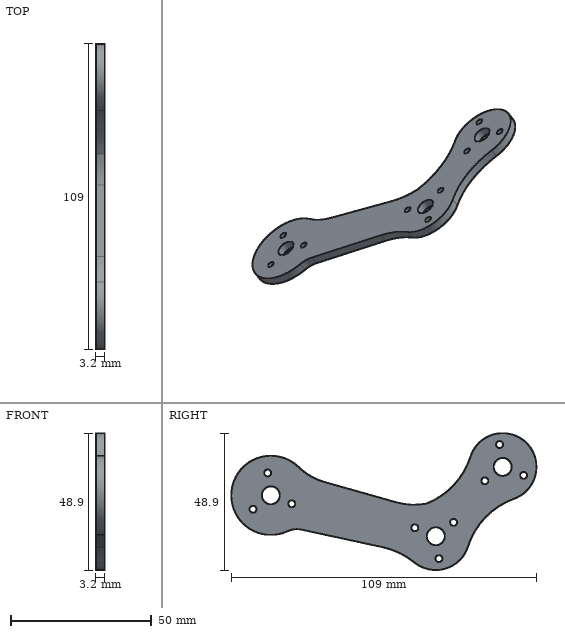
import cadquery as cq
import math

thickness = 3.2

upper_pivot = (42.4, 12.4)
elbow_pivot = (18.5, -12.3)
far_pivot = (-40.3, 2.3)
small_boss_radius = 12.1
far_boss_radius = 14.2

waist_radius = 26.7

top_edge_height = 1.1
top_edge_angle = -15.8
bottom_edge_height = -16.3
bottom_edge_angle = -12.2
far_top_blend_radius = 21.2
far_bottom_blend_radius = 7.6
elbow_blend_radius = waist_radius

corner_waist_y = 15.2
corner_edge_y = 4.2

bore_diameter = 6.3
screw_hole_diameter = 2.4
screw_circle_radius = 8.1
screw_count = 3
end_screw_angle = 98.0
elbow_screw_angle = end_screw_angle + 180


def point_towards(start, end, distance):
    """Point at the given distance from start on the way to end."""
    fraction = distance / math.dist(start, end)
    return tuple(a + (b - a) * fraction for a, b in zip(start, end))


def edge_height(height, angle, y):
    """Height of a straight arm edge at y."""
    return height + y * math.tan(math.radians(angle))


def arc_middle(center, start, end):
    """Middle of the shorter arc about center from start to end."""
    chord_middle = ((start[0] + end[0]) / 2, (start[1] + end[1]) / 2)
    return point_towards(center, chord_middle, math.dist(center, start))


def waist_center(side):
    """Center of the waist arc on one side of the short arm; side is +1 or -1."""
    span = math.dist(upper_pivot, elbow_pivot)
    offset = side * math.sqrt((small_boss_radius + waist_radius) ** 2 - (span / 2) ** 2)
    along_y = (upper_pivot[0] - elbow_pivot[0]) / span
    along_z = (upper_pivot[1] - elbow_pivot[1]) / span
    middle_y = (upper_pivot[0] + elbow_pivot[0]) / 2
    middle_z = (upper_pivot[1] + elbow_pivot[1]) / 2
    return (middle_y - along_z * offset, middle_z + along_y * offset)


def edge_blend(pivot, boss_radius, height, angle, radius, outward, direction):
    """Boss tangent point, arc middle and edge tangent point of a blend.

    outward is +1 above an edge and -1 below it; direction is the way along Y
    from the boss to the blend.
    """
    tilt = math.radians(angle)
    along = (math.cos(tilt), math.sin(tilt))
    normal = (-outward * along[1], outward * along[0])
    pivot_offset = pivot[0] * normal[0] + (pivot[1] - height) * normal[1]
    rise = radius - pivot_offset
    run = direction * math.sqrt((boss_radius + radius) ** 2 - rise**2)
    center = tuple(p + run * a + rise * n for p, a, n in zip(pivot, along, normal))
    boss_point = point_towards(pivot, center, boss_radius)
    edge_point = tuple(c - radius * n for c, n in zip(center, normal))
    return boss_point, arc_middle(center, boss_point, edge_point), edge_point


def outer_point(pivot, boss_radius, angle):
    """Point on a boss rim at an angle from +Y."""
    turn = math.radians(angle)
    return (pivot[0] + boss_radius * math.cos(turn), pivot[1] + boss_radius * math.sin(turn))


def make_plate():
    inner_center = waist_center(1)
    outer_center = waist_center(-1)
    inner_start = point_towards(upper_pivot, inner_center, small_boss_radius)
    corner_drop = math.sqrt(waist_radius**2 - (corner_waist_y - inner_center[0]) ** 2)
    corner_start = (corner_waist_y, inner_center[1] - corner_drop)
    corner_end = (corner_edge_y, edge_height(top_edge_height, top_edge_angle, corner_edge_y))
    outer_end = point_towards(upper_pivot, outer_center, small_boss_radius)
    outer_start = point_towards(elbow_pivot, outer_center, small_boss_radius)

    far_top, far_top_middle, top_edge_end = edge_blend(
        far_pivot, far_boss_radius, top_edge_height, top_edge_angle, far_top_blend_radius, 1, 1
    )
    far_bottom, far_bottom_middle, bottom_edge_start = edge_blend(
        far_pivot, far_boss_radius, bottom_edge_height, bottom_edge_angle, far_bottom_blend_radius, -1, 1
    )
    elbow_bottom, elbow_middle, bottom_edge_end = edge_blend(
        elbow_pivot, small_boss_radius, bottom_edge_height, bottom_edge_angle, elbow_blend_radius, -1, -1
    )

    return (
        cq.Workplane("YZ", origin=(-thickness / 2, 0, 0))
        .moveTo(*top_edge_end)
        .lineTo(*corner_end)
        .tangentArcPoint(corner_start, relative=False)
        .threePointArc(arc_middle(inner_center, corner_start, inner_start), inner_start)
        .threePointArc(outer_point(upper_pivot, small_boss_radius, 0), outer_end)
        .threePointArc(arc_middle(outer_center, outer_end, outer_start), outer_start)
        .threePointArc(outer_point(elbow_pivot, small_boss_radius, -90), elbow_bottom)
        .threePointArc(elbow_middle, bottom_edge_end)
        .lineTo(*bottom_edge_start)
        .threePointArc(far_bottom_middle, far_bottom)
        .threePointArc(outer_point(far_pivot, far_boss_radius, 180), far_top)
        .threePointArc(far_top_middle, top_edge_end)
        .close()
        .extrude(thickness)
    )


def cut_pivot_holes(plate, pivot, screw_angle):
    screws = [
        outer_point(pivot, screw_circle_radius, screw_angle + i * 360 / screw_count)
        for i in range(screw_count)
    ]
    face = cq.Workplane("YZ", origin=(-thickness / 2, 0, 0))
    bore = face.pushPoints([pivot]).circle(bore_diameter / 2).extrude(thickness)
    screw_holes = face.pushPoints(screws).circle(screw_hole_diameter / 2).extrude(thickness)
    return plate.cut(bore).cut(screw_holes)


result = make_plate()
result = cut_pivot_holes(result, upper_pivot, end_screw_angle)
result = cut_pivot_holes(result, far_pivot, end_screw_angle)
result = cut_pivot_holes(result, elbow_pivot, elbow_screw_angle)